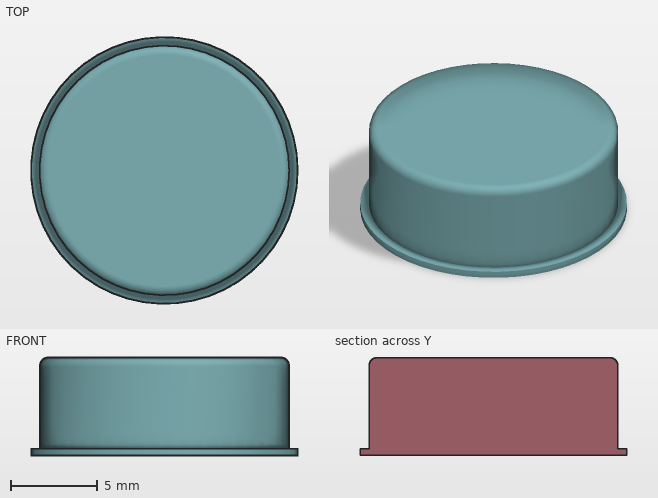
import cadquery as cq

flange_diameter = 15.5
flange_thickness = 0.4
body_diameter = 14.5
total_height = 5.7
top_edge_radius = 0.5

flange = cq.Workplane("XY").circle(flange_diameter / 2).extrude(flange_thickness)

body = (
    cq.Workplane("XY")
    .circle(body_diameter / 2)
    .extrude(total_height)
    .faces(">Z")
    .edges()
    .fillet(top_edge_radius)
)

result = flange.union(body)